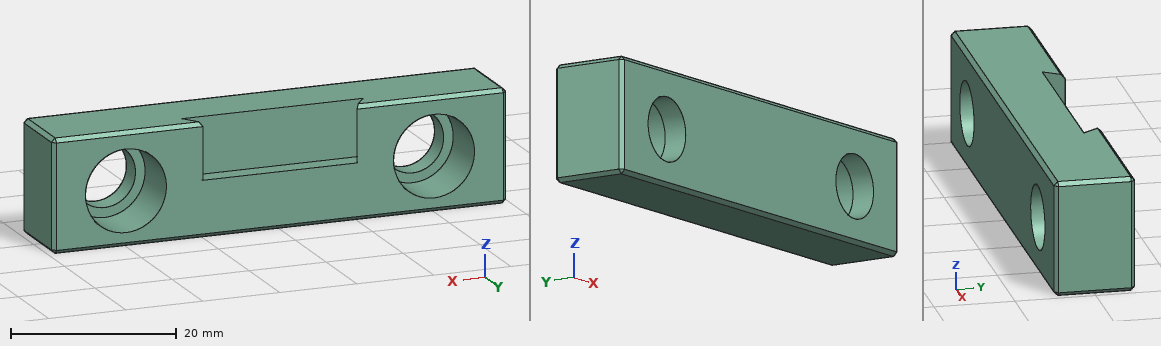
import math

import cadquery as cq

length = 59.0
thickness = 10.0
height = 14.5
edge_chamfer = 0.5

hole_spacing = 40.0
hole_diameter = 8.0
hole_z = -0.25
counterbore_diameter = 10.5
narrow_bore_length = 3.0
counterbore_depth = thickness - narrow_bore_length

slot_opening = 20.0
slot_depth = 2.5
slot_angle = 55.0
slot_height = height / 2

back_y = thickness / 2
top_z = height / 2


def make_block():
    block = cq.Workplane("XY").box(length, thickness, height)
    return block.edges().chamfer(edge_chamfer)


def make_dovetail():
    flare = slot_depth / math.tan(math.radians(slot_angle))
    half_opening = slot_opening / 2
    half_floor = half_opening + flare
    floor_y = back_y - slot_depth
    return (
        cq.Workplane("XY")
        .workplane(offset=top_z - slot_height)
        .moveTo(-half_opening, back_y)
        .lineTo(-half_floor, floor_y)
        .lineTo(half_floor, floor_y)
        .lineTo(half_opening, back_y)
        .close()
        .extrude(slot_height)
    )


def cut_mounting_holes(body):
    return (
        body.faces(">Y")
        .workplane(origin=(0, back_y, hole_z))
        .pushPoints([(-hole_spacing / 2, 0), (hole_spacing / 2, 0)])
        .cboreHole(hole_diameter, counterbore_diameter, counterbore_depth)
    )


result = cut_mounting_holes(make_block()).cut(make_dovetail())